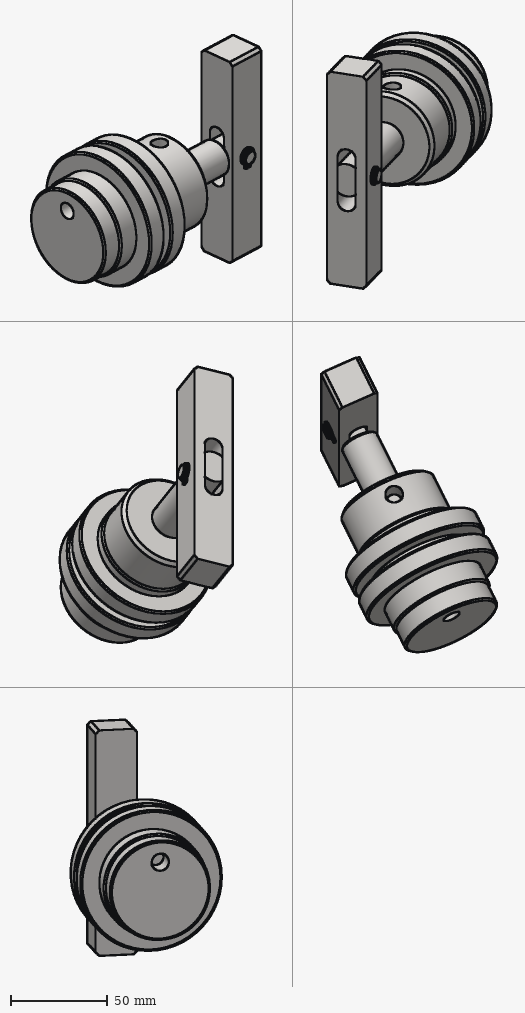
import cadquery as cq

overall_length = 135.6

housing_dia = 53.0
housing_length = 80.0
thread_dia = 55.0
thread_start = 11.0
thread_end = 56.0
edge_chamfer = 1.0
back_edge_chamfer = 2.0
port_mouth_dia = 9.1
port_bottom_dia = 8.3
port_depth = 12.0
top_port_y = 70.0
front_port_z = 15.0

nut_dia = 75.0
nut_thickness = 11.0
nut_starts = (23.0, 39.0)

bar_side = 22.0
bar_length = 120.0
bar_chamfer = 1.9
bar_front = overall_length - bar_side
slot_width = 10.0
slot_length = 35.0

rod_dia = 20.1
shoulder_gap = 0.5
shoulder_y = bar_front - shoulder_gap
neck_dia = rod_dia - 2 * edge_chamfer

pin_dia = 8.0
pin_length = 27.4
pin_chamfer_length = 0.8
pin_chamfer_depth = 0.4
pin_y = overall_length - bar_side / 2
groove_dia = 7.6
groove_width = 1.1
ring_thickness = 0.8
ring_outer_dia = 9.6
ring_offset = 0.3
lug_reach = 6.8
lug_width = 4.5
lug_corner = 1.1
lug_gap = 1.0
lug_notch_dia = 1.6
lug_notch_reach = 5.2
left_lug_angle = 188.0
right_lug_angle = 270.0


def rod_along_y(diameter, start, end):
    """Solid cylinder on the Y axis between two Y positions."""
    plane = cq.Workplane("XZ", origin=(0, start, 0))
    return plane.circle(diameter / 2).extrude(start - end)


def rod_along_x(diameter, length):
    """Solid cylinder on the cross pin's axis, centred on X = 0."""
    plane = cq.Workplane("YZ", origin=(0, pin_y, 0))
    return plane.circle(diameter / 2).extrude(length / 2, both=True)


def make_port(mouth, inward):
    """Blind port that narrows evenly from its mouth to a flat bottom."""
    cone = cq.Solid.makeCone(port_mouth_dia / 2, port_bottom_dia / 2, port_depth, mouth, inward)
    return cq.Workplane(cone)


def make_housing():
    """Turned body with a raised thread band, a port on its top and a port in its front face."""
    body_radius = housing_dia / 2
    thread_radius = thread_dia / 2
    thread_chamfer = thread_radius - body_radius
    profile = [
        (0, 0),
        (body_radius - edge_chamfer, 0),
        (body_radius, edge_chamfer),
        (body_radius, thread_start),
        (thread_radius, thread_start + thread_chamfer),
        (thread_radius, thread_end - thread_chamfer),
        (body_radius, thread_end),
        (body_radius, housing_length - back_edge_chamfer),
        (body_radius - back_edge_chamfer, housing_length),
        (0, housing_length),
    ]
    body = cq.Workplane("XY").polyline(profile).close().revolve(360, (0, 0, 0), (0, 1, 0))
    top_port = make_port(cq.Vector(0, top_port_y, body_radius), cq.Vector(0, 0, -1))
    front_port = make_port(cq.Vector(0, 0, front_port_z), cq.Vector(0, 1, 0))
    return body.cut(top_port).cut(front_port)


def make_locknut(start):
    """Round nut on the housing's thread band, chamfered on both outer rims."""
    end = start + nut_thickness
    disc = rod_along_y(nut_dia, start, end).faces("<Y or >Y").chamfer(edge_chamfer)
    return disc.cut(rod_along_y(thread_dia, start, end))


def make_rod():
    """Rod from the housing's back face, ending in a flat tongue that fills the bar's slot width."""
    shank = rod_along_y(rod_dia, housing_length, shoulder_y)
    shank = shank.faces(">Y").chamfer(edge_chamfer)
    neck = rod_along_y(neck_dia, shoulder_y, overall_length)
    flats = cq.Workplane("XY").box(slot_width, 2 * overall_length, rod_dia)
    return shank.union(neck.intersect(flats)).cut(rod_along_x(pin_dia, pin_length))


def make_crossbar():
    """Upright square bar with a slot for the tongue and a cross hole for the pin."""
    bar = cq.Workplane("XY", origin=(0, pin_y, 0)).box(bar_side, bar_side, bar_length)
    bar = bar.edges("|Y").chamfer(bar_chamfer)
    slot = (
        cq.Workplane("XZ", origin=(0, overall_length, 0))
        .slot2D(slot_length, slot_width, 90)
        .extrude(bar_side)
    )
    return bar.cut(slot).cut(rod_along_x(pin_dia, pin_length))


def make_pin():
    """Pin through bar and tongue, grooved for a ring just outside each side of the bar."""
    pin = rod_along_x(pin_dia, pin_length)
    pin = pin.faces("<X or >X").chamfer(pin_chamfer_length, pin_chamfer_depth)
    grooves = rod_along_x(pin_dia, bar_side + 2 * groove_width)
    grooves = grooves.cut(rod_along_x(groove_dia, pin_length)).cut(rod_along_x(pin_dia, bar_side))
    return pin.cut(grooves)


def make_retaining_ring(inner_x, lug_angle):
    """Open ring seated in a pin groove, with two lugs pointing at lug_angle from +Y towards +Z."""
    plane = cq.Workplane("YZ")
    ring = plane.center(-ring_offset, 0).circle(ring_outer_dia / 2).extrude(ring_thickness)
    lugs = plane.center(lug_reach / 2, 0).rect(lug_reach, lug_width).extrude(ring_thickness)
    lugs = lugs.edges("|X and >Y").fillet(lug_corner)
    bore = plane.circle(groove_dia / 2).extrude(ring_thickness)
    gap = plane.center(lug_reach / 2, 0).rect(lug_reach, lug_gap).extrude(ring_thickness)
    notch = plane.center(lug_notch_reach, 0).circle(lug_notch_dia / 2).extrude(ring_thickness)
    ring = ring.union(lugs).cut(bore).cut(gap).cut(notch)
    return ring.rotate((0, 0, 0), (1, 0, 0), lug_angle).translate((inner_x, pin_y, 0))


housing = make_housing()
locknuts = [make_locknut(start) for start in nut_starts]
rod = make_rod()
crossbar = make_crossbar()
pin = make_pin()
ring_places = (
    (-bar_side / 2 - ring_thickness, left_lug_angle),
    (bar_side / 2, right_lug_angle),
)
rings = [make_retaining_ring(inner_x, angle) for inner_x, angle in ring_places]

result = cq.Compound.makeCompound([
    housing.val(),
    *[nut.val() for nut in locknuts],
    rod.val(),
    crossbar.val(),
    pin.val(),
    *[ring.val() for ring in rings],
])